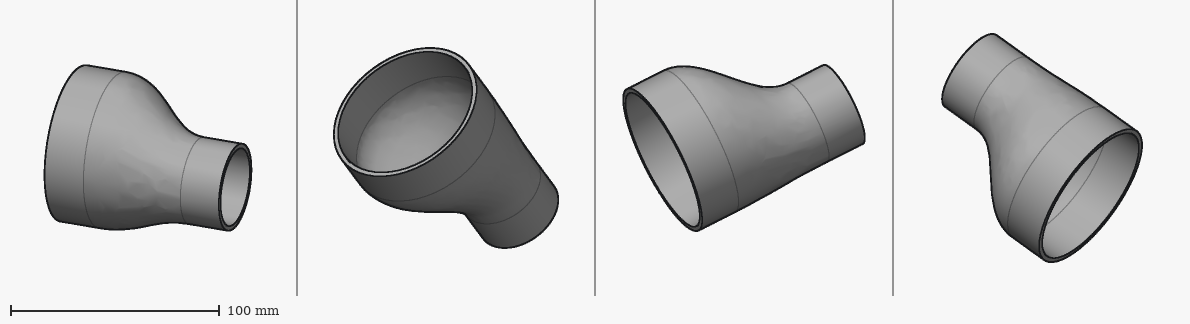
import cadquery as cq

total_length = 90.0
collar_length = 20.0
large_outer_diameter = 76.1
large_inner_diameter = 71.5
small_outer_diameter = 42.4
small_inner_diameter = 37.8

blend_length = total_length - 2 * collar_length
small_end_y = -(large_outer_diameter - small_outer_diameter) / 2
blend_steps = 12
tangent_share = 0.39


def s_curve(t):
    """Point of a Bezier S-curve from (0, 0) to (1, 1), level at both ends."""
    along = 3 * tangent_share * t * (1 - t) ** 2 + 3 * (1 - tangent_share) * t**2 * (1 - t) + t**3
    across = 3 * t**2 * (1 - t) + t**3
    return along, across


def cylinder(start_x, center_y, diameter):
    """Straight collar along X."""
    plane = cq.Workplane("YZ", origin=(start_x, center_y, 0))
    return plane.circle(diameter / 2).extrude(collar_length)


def blend(large_diameter, small_diameter):
    """Loft through circles whose size and center shift together in an S-curve."""
    sections = []
    for step in range(blend_steps + 1):
        along, share = s_curve(step / blend_steps)
        radius = (large_diameter + share * (small_diameter - large_diameter)) / 2
        center = cq.Vector(collar_length + along * blend_length, share * small_end_y, 0)
        sections.append(cq.Wire.makeCircle(radius, center, cq.Vector(1, 0, 0)))
    return cq.Workplane(cq.Solid.makeLoft(sections))


def reducer_body(large_diameter, small_diameter):
    """Large collar, eccentric blend and small collar as one solid."""
    large_collar = cylinder(0, 0, large_diameter)
    small_collar = cylinder(total_length - collar_length, small_end_y, small_diameter)
    return large_collar.union(blend(large_diameter, small_diameter)).union(small_collar)


outer_body = reducer_body(large_outer_diameter, small_outer_diameter)
bore = reducer_body(large_inner_diameter, small_inner_diameter)
result = outer_body.cut(bore)